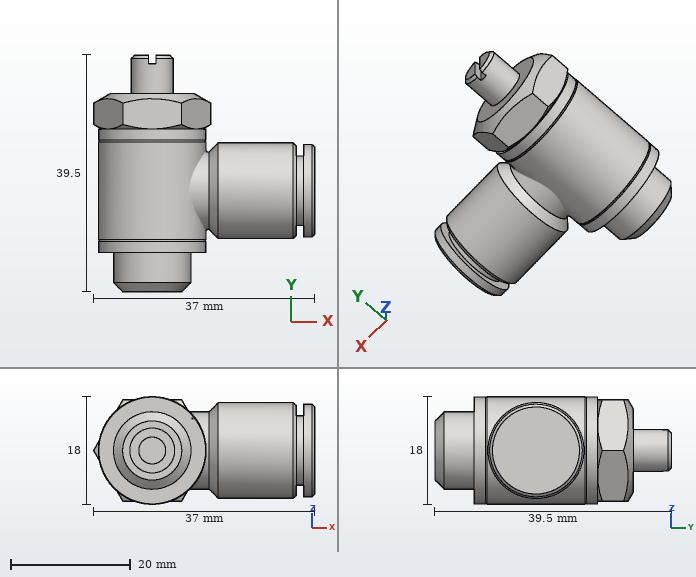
import cadquery as cq
import math

thread_radius = 6.48
thread_chamfer = 1.55
flange_start = 6.55
collar_radius = 8.95
collar_width = 1.85
body_radius = 9.0
seam_width = 0.28
seam_depth = 0.1
nut_start = 27.2
nut_end = 33.15
total_length = 39.5

nut_across_flats = 17.0
nut_top_radius = 6.95
nut_chamfer_slope = math.tan(math.radians(30))

stem_radius = 3.5
stem_chamfer = 0.55
slot_width = 1.2
slot_depth = 1.42

bore_radius = 3.75
bore_depth = 16.87
inner_bore_radius = 2.25
inner_bore_depth = 20.55

neck_radius = 6.48
neck_fillet = 0.25
cone_start = 9.5
socket_radius = 8.02
socket_end = 24.05
socket_chamfer = 0.5
ring_neck_radius = 5.85
ring_start = 25.3
ring_radius = 7.75
ring_chamfer = 0.47
port_end = 27.2

body_start = flange_start + collar_width
body_end = nut_start - collar_width
seam_radius = body_radius - seam_depth
port_y = (flange_start + nut_start) / 2
nut_corner_radius = nut_across_flats / math.sqrt(3)


def turned_about_y(profile):
    """Revolve (radius, y) points about the Y axis."""
    return cq.Workplane("XY").polyline(profile).close().revolve(360, (0, 0), (0, 1))


def cylinder_y(radius, start, end):
    return turned_about_y([(0, start), (radius, start), (radius, end), (0, end)])


def make_body():
    """Thread, two collars and the barrel, with a shallow seam beside each collar."""
    return turned_about_y([
        (0, 0),
        (thread_radius - thread_chamfer, 0),
        (thread_radius, thread_chamfer),
        (thread_radius, flange_start),
        (collar_radius, flange_start),
        (collar_radius, body_start),
        (seam_radius, body_start),
        (seam_radius, body_start + seam_width),
        (body_radius, body_start + seam_width),
        (body_radius, body_end - seam_width),
        (seam_radius, body_end - seam_width),
        (seam_radius, body_end),
        (collar_radius, body_end),
        (collar_radius, nut_start),
        (0, nut_start),
    ])


def make_nut():
    """Hexagon trimmed by a cone at both ends."""
    hexagon = (
        cq.Workplane("XZ", origin=(0, nut_start, 0))
        .polygon(6, 2 * nut_corner_radius)
        .extrude(nut_start - nut_end)
    )
    bottom_radius = nut_across_flats / 2
    bottom_rise = (nut_corner_radius - bottom_radius) * nut_chamfer_slope
    top_drop = (nut_corner_radius - nut_top_radius) * nut_chamfer_slope
    envelope = turned_about_y([
        (0, nut_start),
        (bottom_radius, nut_start),
        (nut_corner_radius, nut_start + bottom_rise),
        (nut_corner_radius, nut_end - top_drop),
        (nut_top_radius, nut_end),
        (0, nut_end),
    ])
    return hexagon.intersect(envelope)


def make_stem():
    stem = cylinder_y(stem_radius, nut_end, total_length).faces(">Y").chamfer(stem_chamfer)
    slot = (
        cq.Workplane("XY")
        .box(slot_width, slot_depth, 2 * stem_radius)
        .translate((0, total_length - slot_depth / 2, 0))
    )
    return stem.cut(slot)


def make_port():
    """Side port turned about the line y = port_y, from (x, radius) points."""
    profile = [
        (0, 0),
        (0, neck_radius),
        (cone_start, neck_radius),
        (cone_start + socket_radius - neck_radius, socket_radius),
        (socket_end - socket_chamfer, socket_radius),
        (socket_end, socket_radius - socket_chamfer),
        (socket_end, ring_neck_radius),
        (ring_start, ring_neck_radius),
        (ring_start, ring_radius),
        (port_end - ring_chamfer, ring_radius),
        (port_end, ring_radius - ring_chamfer),
        (port_end, 0),
    ]
    return (
        cq.Workplane("XY", origin=(0, port_y, 0))
        .polyline(profile)
        .close()
        .revolve(360, (0, 0), (1, 0))
    )


def join_port(body, port):
    """Unite the side port with the barrel and round the curve where its neck meets it."""
    neck_zone = cq.selectors.BoxSelector(
        (0, port_y - socket_radius, -socket_radius),
        ((body_radius + cone_start) / 2, port_y + socket_radius, socket_radius),
        boundingbox=True,
    )
    return body.union(port).edges(neck_zone).fillet(neck_fillet)


def make_bore():
    wide = cylinder_y(bore_radius, 0, bore_depth)
    narrow = cylinder_y(inner_bore_radius, 0, inner_bore_depth)
    return wide.union(narrow)


result = (
    join_port(make_body(), make_port())
    .union(make_nut())
    .union(make_stem())
    .cut(make_bore())
)